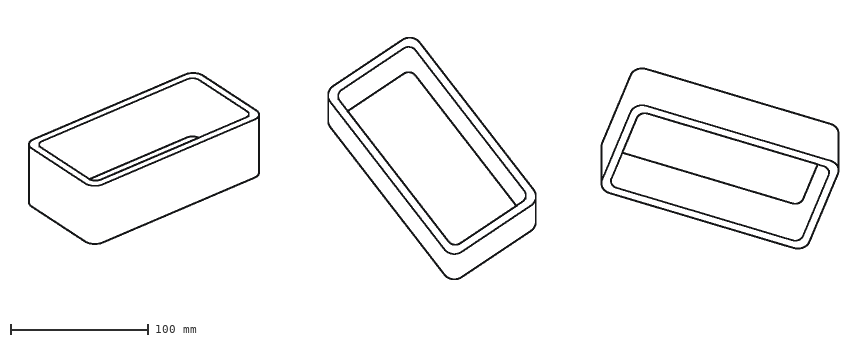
import cadquery as cq

width = 80.0
length = 160.0
height = 50.0
wall = 6.0
outer_corner_radius = 9.0
inner_corner_radius = 6.0


def rounded_block(size_x, size_y, corner_radius):
    """Block of the full height with its vertical edges rounded."""
    return cq.Workplane("XY").box(size_x, size_y, height).edges("|Z").fillet(corner_radius)


outer_block = rounded_block(width, length, outer_corner_radius)
opening = rounded_block(width - 2 * wall, length - 2 * wall, inner_corner_radius)

result = outer_block.cut(opening)